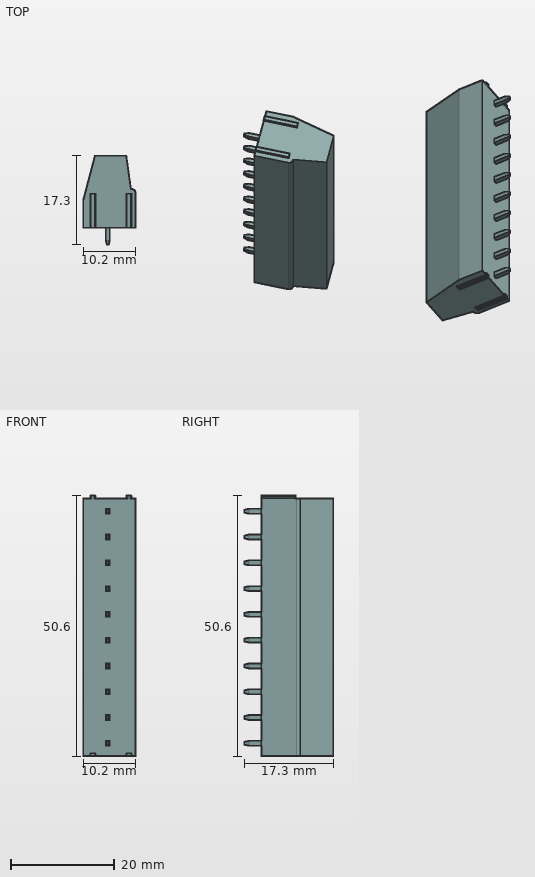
import cadquery as cq

pin_count = 10
pitch = 5.0
body_length = pin_count * pitch

body_width = 10.2
body_depth = 14.0
left_wall_depth = 5.3
crown_left = 2.3
crown_right = 8.4
shoulder_x = 9.3
shoulder_depth = 7.55
shoulder_radius = 0.8

dovetail_centers = (1.9, 8.9)
dovetail_length = 6.65
dovetail_height = 0.59
dovetail_wide = 1.1
dovetail_neck = 0.6
dovetail_chamfer = 0.17
groove_mouth_depth = 0.17

pin_x = 4.8
pin_width = 0.8
pin_height = 1.0
pin_length = 3.3
pin_tip_length = 0.9
pin_tip_width = 0.4
pin_tip_height = 0.55


def make_body():
    """Tapered housing with a rounded shoulder along its +X side."""
    return (
        cq.Workplane("XY")
        .lineTo(body_width, 0)
        .lineTo(body_width, shoulder_depth - shoulder_radius)
        .radiusArc((body_width - shoulder_radius, shoulder_depth), -shoulder_radius)
        .lineTo(shoulder_x, shoulder_depth)
        .lineTo(crown_right, body_depth)
        .lineTo(crown_left, body_depth)
        .lineTo(0, left_wall_depth)
        .close()
        .extrude(body_length)
    )


def make_dovetail(center_x, base_z):
    """Dovetail bar whose narrow neck sits at base_z and widens upward to chamfered edges."""
    top_z = base_z + dovetail_height
    return (
        cq.Workplane("XZ")
        .moveTo(center_x - dovetail_neck / 2, base_z)
        .lineTo(center_x + dovetail_neck / 2, base_z)
        .lineTo(center_x + dovetail_wide / 2, top_z - dovetail_chamfer)
        .lineTo(center_x + dovetail_wide / 2 - dovetail_chamfer, top_z)
        .lineTo(center_x - dovetail_wide / 2 + dovetail_chamfer, top_z)
        .lineTo(center_x - dovetail_wide / 2, top_z - dovetail_chamfer)
        .close()
        .extrude(-dovetail_length)
    )


def make_groove_mouth(center_x):
    """Flared entry that widens a groove where it opens on the -Z end."""
    return (
        cq.Workplane("XZ")
        .moveTo(center_x - dovetail_wide / 2, 0)
        .lineTo(center_x + dovetail_wide / 2, 0)
        .lineTo(center_x + dovetail_neck / 2, groove_mouth_depth)
        .lineTo(center_x - dovetail_neck / 2, groove_mouth_depth)
        .close()
        .extrude(-dovetail_length)
    )


def make_pin(center_z):
    """Rectangular pin pointing along -Y with a tapered tip."""
    shank_length = pin_length - pin_tip_length
    shank = (
        cq.Workplane("XZ")
        .center(pin_x, center_z)
        .rect(pin_width, pin_height)
        .extrude(shank_length)
    )
    tip = (
        cq.Workplane("XZ", origin=(0, -shank_length, 0))
        .center(pin_x, center_z)
        .rect(pin_width, pin_height)
        .workplane(offset=pin_tip_length)
        .rect(pin_tip_width, pin_tip_height)
        .loft(ruled=True)
    )
    return shank.union(tip)


result = make_body()
for dovetail_x in dovetail_centers:
    result = result.union(make_dovetail(dovetail_x, body_length))
    result = result.cut(make_dovetail(dovetail_x, 0))
    result = result.cut(make_groove_mouth(dovetail_x))
for pin_index in range(pin_count):
    result = result.union(make_pin((pin_index + 0.5) * pitch))